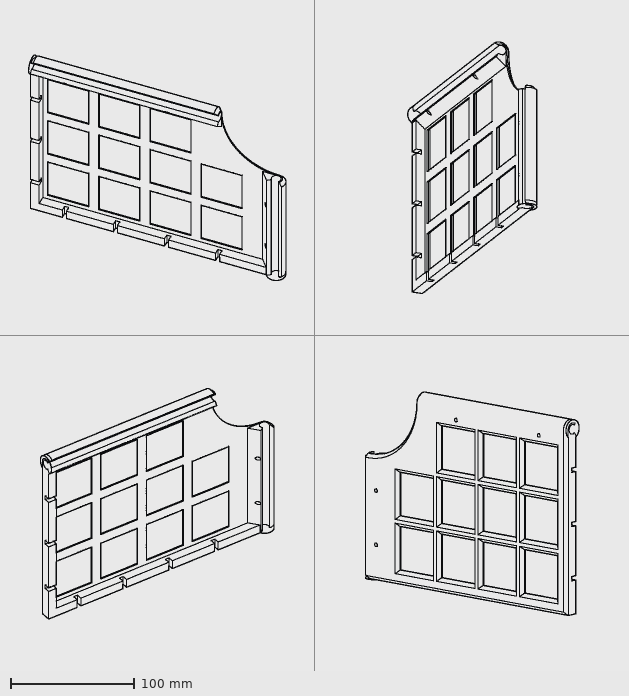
import cadquery as cq
import math


length = 223.0
height = 162.0
rail_radius = 8.0
bore_radius = 4.0
lip_angle = 36.0
cap_thickness = 0.2

plate_thickness = rail_radius - bore_radius
back_chamfer = 3.0
corner_radius = 50.0

wall_depth = 12.0
left_wall_width = 7.5
bottom_wall_width = 8.0
notch_width = 3.5
notch_depth = 5.0

window_size = 36.1
pitch = 45.0
first_center = 29.9
columns = 4
rows = 3
top_row_columns = 3

web_reach = 13.5
web_hole_diameter = 3.0
top_hole_columns = (0, 2)
right_hole_rows = (0, 1)

lip_out = rail_radius * math.cos(math.radians(lip_angle))
lip_depth = rail_radius * (1 + math.sin(math.radians(lip_angle)))
web_slope = (web_reach - lip_out) / (lip_depth - plate_thickness)
wall_gap = lip_out + web_slope * (lip_depth - wall_depth)
axis_x = length - rail_radius
axis_z = height - rail_radius
top_rail_length = axis_x - corner_radius
right_rail_length = axis_z - corner_radius
arc_middle = corner_radius * math.sqrt(0.5)
column_centers = [first_center + i * pitch for i in range(columns)]
row_centers = [first_center + i * pitch for i in range(rows)]


def front_block(x_start, x_end, z_start, z_end, depth_start, depth_end):
    """Box given by its X and Z limits and its depths in front of the plate's back."""
    return (
        cq.Workplane("XY")
        .box(x_end - x_start, depth_end - depth_start, z_end - z_start, centered=False)
        .translate((x_start, -depth_end, z_start))
    )


def make_plate():
    """Flat plate with a concave corner."""
    return (
        cq.Workplane("XZ")
        .lineTo(axis_x, 0)
        .lineTo(axis_x, right_rail_length)
        .threePointArc((axis_x - arc_middle, axis_z - arc_middle), (top_rail_length, axis_z))
        .lineTo(0, axis_z)
        .close()
        .extrude(plate_thickness)
    )


def on_circle(radius, angle):
    """Point of a circle about the rail axis; the angle is in degrees."""
    return (
        radius * math.cos(math.radians(angle)),
        radius * math.sin(math.radians(angle)),
    )


def make_rail(rail_length):
    """Rail along +Z about the origin, with its back toward +Y and the plate toward -X.

    The outer half is a ring; the inner half is a web that slopes down to the plate.
    """
    outer_lip = -lip_angle
    inner_lip = lip_angle - 180
    return (
        cq.Workplane("XY")
        .moveTo(*on_circle(rail_radius, 90))
        .threePointArc(on_circle(rail_radius, 0), on_circle(rail_radius, outer_lip))
        .lineTo(*on_circle(bore_radius, outer_lip))
        .threePointArc(on_circle(bore_radius, 90), on_circle(bore_radius, inner_lip))
        .lineTo(*on_circle(rail_radius, inner_lip))
        .lineTo(-web_reach, bore_radius)
        .close()
        .extrude(rail_length)
    )


def make_cap():
    """Thin disc that closes the Z = 0 end of a rail."""
    return cq.Workplane("XY").circle(rail_radius).extrude(cap_thickness)


def place_right(rail_part):
    """Move a rail part from the origin to the right edge."""
    return rail_part.translate((axis_x, -rail_radius, 0))


def place_top(rail_part):
    """Move a rail part to the top edge, its length turned to +X and its outer side to +Z."""
    turned = rail_part.mirror("XY").rotate((0, 0, 0), (0, 1, 0), -90)
    return turned.translate((0, -rail_radius, axis_z))


def make_shell():
    """Plate and rails in one piece; the back chamfers run on around the ends of the rails."""
    shell = (
        make_plate()
        .union(place_right(make_rail(right_rail_length)))
        .union(place_top(make_rail(top_rail_length)))
    )
    left_edge = cq.selectors.NearestToPointSelector((0, 0, axis_z / 2))
    bottom_edge = cq.selectors.NearestToPointSelector((axis_x / 2, 0, 0))
    corner_edge = cq.selectors.NearestToPointSelector((axis_x - arc_middle, 0, axis_z - arc_middle))
    return shell.edges(left_edge + bottom_edge + corner_edge).chamfer(back_chamfer)


def make_walls():
    """Left and bottom frame walls, notched in line with the windows."""
    left_wall = front_block(0, left_wall_width, 0, axis_z - wall_gap, plate_thickness, wall_depth)
    bottom_wall = front_block(0, axis_x - wall_gap, 0, bottom_wall_width, plate_thickness, wall_depth)
    walls = left_wall.union(bottom_wall)
    notch_floor = wall_depth - notch_depth
    half_notch = notch_width / 2
    for x in column_centers:
        walls = walls.cut(
            front_block(x - half_notch, x + half_notch, 0, bottom_wall_width, notch_floor, wall_depth)
        )
    for z in row_centers:
        walls = walls.cut(
            front_block(0, left_wall_width, z - half_notch, z + half_notch, notch_floor, wall_depth)
        )
    return walls


def make_windows():
    """Square openings, flared at the back; the top row stops short of the concave corner."""
    centers = [(x, z) for z in row_centers[:-1] for x in column_centers]
    centers += [(x, row_centers[-1]) for x in column_centers[:top_row_columns]]
    flare_size = window_size + 2 * back_chamfer
    openings = (
        cq.Workplane("XZ").pushPoints(centers).rect(window_size, window_size).extrude(plate_thickness)
    )
    flares = (
        cq.Workplane("XZ")
        .pushPoints(centers)
        .rect(flare_size, flare_size)
        .extrude(back_chamfer, taper=45)
    )
    return openings.union(flares)


def make_web_holes():
    """Holes through web and plate, one rail radius inward of each rail axis."""
    top_holes = [(column_centers[i], axis_z - rail_radius) for i in top_hole_columns]
    right_holes = [(axis_x - rail_radius, row_centers[i]) for i in right_hole_rows]
    return (
        cq.Workplane("XZ")
        .pushPoints(top_holes + right_holes)
        .circle(web_hole_diameter / 2)
        .extrude(2 * rail_radius)
    )


result = (
    make_shell()
    .union(make_walls())
    .cut(make_windows())
    .cut(make_web_holes())
    .union(place_right(make_cap()))
    .union(place_top(make_cap()))
)